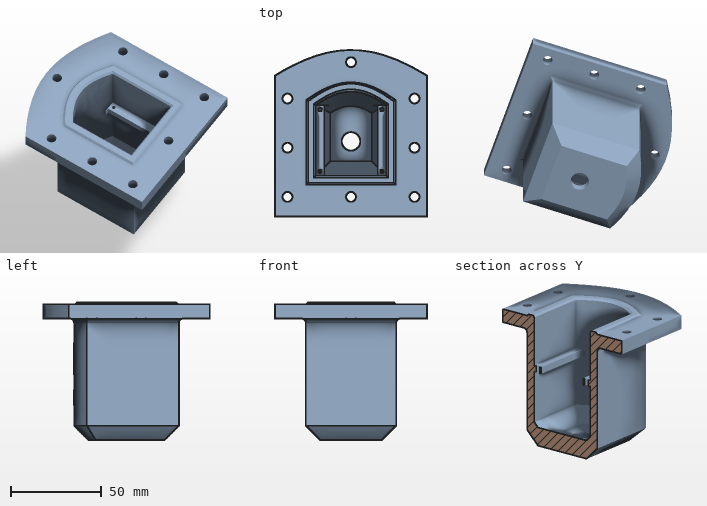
import cadquery as cq

total_height = 76.0
rim_height = 1.0
plate_thickness = 8.0
plate_top = total_height - rim_height
plate_bottom = plate_top - plate_thickness

taper = 8.0
plate_outline = (84.0 / 2, 0, 77.8, 92)
neck_outline = (25.0, 17.0, 67.8, 75.0)
neck_foot_outline = (neck_outline[0] - taper, neck_outline[1] + taper, 63.1, neck_outline[3] - taper)
rim_base_outline = (24.65, 17.6, 64.3, 74.1)
rim_top_outline = (23.6, 18.7, 63.7, 73.3)
opening_outline = (20.5, 21.4, 62.1, 70.3)
cavity_outline = (19.5, 22.4, 61.45, 69.0)
cavity_floor_outline = (
    cavity_outline[0] - taper,
    cavity_outline[1] + taper,
    57.2,
    cavity_outline[3] - taper,
)
crown_handle = 0.27

neck_fillet = 2.0
floor_thickness = 5.5
opening_chamfer_depth = 1.0

plate_hole_diameter = 5.3
plate_hole_x = 35.05
plate_hole_rows = (10.9, 38.0, 65.1)
crown_hole_y = 85.2
drain_diameter = 10.1
drain_y = 41.5

rail_width = 4.9
rail_thickness = 3.9
rail_top = total_height - 29.2
rail_hole_diameter = 2.0
rail_hole_rows = (24.9, 59.1)
fin_length = 2.1
fin_thickness = 0.3


def section(outline, z):
    """Closed outline at height z: three straight sides and a curved crown."""
    half_width, front, shoulder, apex = outline
    control_y = shoulder + (apex - shoulder) * 4 / 3
    control_x = half_width * crown_handle
    return (
        cq.Workplane("XY", origin=(0, 0, z))
        .moveTo(-half_width, shoulder)
        .lineTo(-half_width, front)
        .lineTo(half_width, front)
        .lineTo(half_width, shoulder)
        .bezier(
            [(control_x, control_y), (-control_x, control_y), (-half_width, shoulder)],
            includeCurrent=True,
        )
        .close()
    )


def prism(outline, bottom, top):
    return section(outline, bottom).extrude(top - bottom)


def tapered(lower_outline, upper_outline, bottom, top):
    """Solid with straight sides between two outlines."""
    wires = [
        section(lower_outline, bottom).wires().val(),
        section(upper_outline, top).wires().val(),
    ]
    return cq.Workplane(cq.Solid.makeLoft(wires, True))


def bores(points, diameter, bottom, top):
    return (
        cq.Workplane("XY", origin=(0, 0, bottom))
        .pushPoints(points)
        .circle(diameter / 2)
        .extrude(top - bottom)
    )


def housing():
    """Flange plate on a neck, with a fillet between them and a raised rim on top."""
    body = prism(plate_outline, plate_bottom, plate_top)
    body = body.union(prism(neck_outline, taper, plate_bottom))
    margin = 0.1
    half_width, front, _, apex = neck_outline
    neck_joint = cq.selectors.BoxSelector(
        (-half_width - margin, front - margin, plate_bottom - margin),
        (half_width + margin, apex + margin, plate_bottom + margin),
    )
    body = body.edges(neck_joint).fillet(neck_fillet)
    body = body.union(tapered(neck_foot_outline, neck_outline, 0, taper))
    return body.union(tapered(rim_base_outline, rim_top_outline, plate_top, total_height))


def cavity():
    """Deep pocket with a tapered floor and a chamfered mouth."""
    taper_top = floor_thickness + taper
    mouth_bottom = total_height - opening_chamfer_depth
    pocket = tapered(cavity_floor_outline, cavity_outline, floor_thickness, taper_top)
    pocket = pocket.union(prism(cavity_outline, taper_top, mouth_bottom))
    return pocket.union(tapered(cavity_outline, opening_outline, mouth_bottom, total_height))


def plate_holes():
    points = [(side * plate_hole_x, y) for side in (-1, 1) for y in plate_hole_rows]
    points += [(0, plate_hole_rows[0]), (0, crown_hole_y)]
    return bores(points, plate_hole_diameter, plate_bottom, plate_top)


def rail(side):
    """Shelf along one side wall, with two holes and a thin fin at its back end."""
    half_width, front, back, _ = cavity_outline
    centre_x = side * (half_width - rail_width / 2)
    fin_x = side * (half_width - rail_width - fin_length / 2)
    rail_bottom = rail_top - rail_thickness
    bar = cq.Workplane("XY", origin=(centre_x, (front + back) / 2, rail_bottom)).rect(
        rail_width, back - front
    )
    fin = cq.Workplane("XY", origin=(fin_x, back - fin_thickness / 2, rail_bottom)).rect(
        fin_length, fin_thickness
    )
    shelf = bar.extrude(rail_thickness).union(fin.extrude(rail_thickness))
    points = [(centre_x, y) for y in rail_hole_rows]
    return shelf.cut(bores(points, rail_hole_diameter, rail_bottom, rail_top))


result = housing().cut(cavity()).cut(plate_holes())
result = result.cut(bores([(0, drain_y)], drain_diameter, 0, floor_thickness))
for side in (-1, 1):
    result = result.union(rail(side))